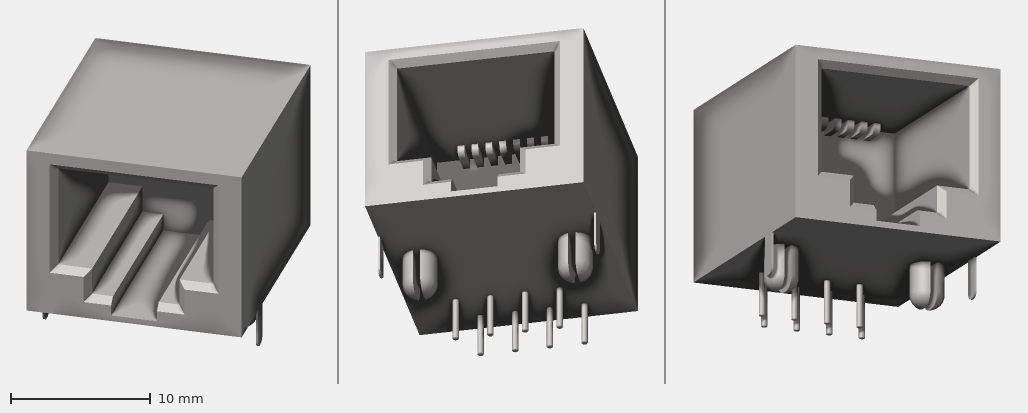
import cadquery as cq

body_width = 16.0
body_depth = 18.5
body_height = 12.85
front_y = -body_depth / 2

opening_top = 11.97
chamber_half_width = 6.27
chamber_floor = 3.27
channel_half_width = 3.75
channel_floor = 1.25
mouth_bevel = 0.5
cavity_depth = 14.0
notch_width = 3.4
notch_floor = 0.45

contact_count = 8
contact_pitch = 1.02
contact_width = 0.5
contact_bottom = 10.7
contact_length = 2.0
contact_radius = 0.55

peg_x = 5.69
peg_y = -1.29
peg_diameter = 2.5
peg_length = 3.2
peg_tip_radius = 1.0
peg_slit_width = 0.54

pin_count = 8
pin_pitch = 1.27
pin_diameter = 0.46
pin_length = peg_length
pin_tip_chamfer = 0.05
peg_to_pin_row = 6.35
pin_row_near_y = peg_y + peg_to_pin_row
pin_row_far_y = pin_row_near_y + 2 * pin_pitch

tab_thickness = 0.15
tab_width = 1.2
tab_length = 3.0
tab_corner_radius = 0.5
tab_y = -4.3

root = 0.2


def box(x_range, y_range, z_range):
    """Box spanning the given (low, high) limits on each axis."""
    size = [high - low for low, high in (x_range, y_range, z_range)]
    corner = (x_range[0], y_range[0], z_range[0])
    return cq.Workplane("XY").box(*size, centered=False).translate(corner)


def opening_outline(y, inset):
    """T-shaped outline of the opening at depth y, shrunk inwards by inset."""
    chamber = chamber_half_width - inset
    channel = channel_half_width - inset
    top = opening_top - inset
    step = chamber_floor + inset
    bottom = channel_floor + inset
    return cq.Workplane("XZ", origin=(0, y, 0)).polyline([
        (-chamber, top),
        (chamber, top),
        (chamber, step),
        (channel, step),
        (channel, bottom),
        (-channel, bottom),
        (-channel, step),
        (-chamber, step),
    ]).close()


def make_cavity():
    """Plug cavity with a bevelled mouth and an unbevelled notch in the channel floor."""
    bevel_end_y = front_y + mouth_bevel
    back_y = front_y + cavity_depth
    mouth_wire = opening_outline(front_y, 0).wire().val()
    throat_wire = opening_outline(bevel_end_y, mouth_bevel).wire().val()
    bevel = cq.Workplane(cq.Solid.makeLoft([mouth_wire, throat_wire], True))
    throat = opening_outline(bevel_end_y, mouth_bevel).extrude(-(cavity_depth - mouth_bevel))
    notch = box(
        (-notch_width / 2, notch_width / 2),
        (front_y, back_y),
        (notch_floor, chamber_floor),
    )
    return throat.union(bevel).union(notch)


def make_contact(x):
    """Contact block against the back wall with a rounded lower front edge."""
    back_y = front_y + cavity_depth
    contact = box(
        (x - contact_width / 2, x + contact_width / 2),
        (back_y - contact_length, back_y + root),
        (contact_bottom, opening_top),
    )
    return contact.edges("<Y and <Z").fillet(contact_radius)


def make_pin(x, y):
    """Round solder pin with a slightly chamfered tip."""
    pin = cq.Workplane("XY", origin=(x, y, root)).circle(pin_diameter / 2).extrude(-(pin_length + root))
    return pin.faces("<Z").chamfer(pin_tip_chamfer)


def make_peg(x):
    """Round-ended locating peg split by a slit running along Y."""
    peg = cq.Workplane("XY", origin=(x, peg_y, root)).circle(peg_diameter / 2).extrude(-(peg_length + root))
    peg = peg.faces("<Z").edges().fillet(peg_tip_radius)
    slit = box(
        (x - peg_slit_width / 2, x + peg_slit_width / 2),
        (peg_y - peg_diameter, peg_y + peg_diameter),
        (-peg_length, 0),
    )
    return peg.cut(slit)


def make_tab(side):
    """Shield tab with rounded lower corners; side is -1 or +1 along X."""
    outer_x = side * body_width / 2
    inner_x = outer_x - side * tab_thickness
    tab = box(
        (min(outer_x, inner_x), max(outer_x, inner_x)),
        (tab_y - tab_width / 2, tab_y + tab_width / 2),
        (-tab_length, root),
    )
    return tab.edges("|X and <Z").fillet(tab_corner_radius)


housing = cq.Workplane("XY").box(body_width, body_depth, body_height, centered=(True, True, False))
result = housing.cut(make_cavity())

for index in range(contact_count):
    contact_x = (index - (contact_count - 1) / 2) * contact_pitch
    result = result.union(make_contact(contact_x))

for index in range(pin_count):
    pin_x = (index - (pin_count - 1) / 2) * pin_pitch
    pin_y = pin_row_near_y if index % 2 == 0 else pin_row_far_y
    result = result.union(make_pin(pin_x, pin_y))

for side in (-1, 1):
    result = result.union(make_peg(side * peg_x))
    result = result.union(make_tab(side))